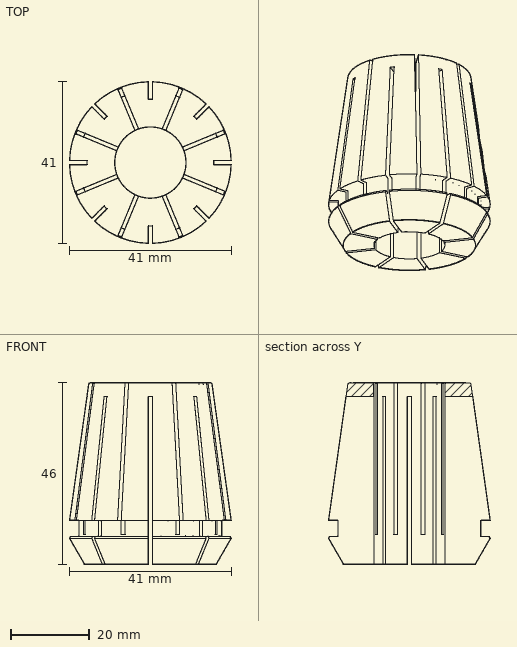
import math

import cadquery as cq

total_height = 46.0
max_radius = 20.5
bore_radius = 9.0

taper_angle = 8.0
taper_base_height = 11.15
rim_fillet = 0.5
bore_fillet = 0.4

groove_radius = 18.1
groove_floor_height = 7.1
groove_fillet = 0.2
nose_angle = 30.0
nose_edge_height = 6.6
nose_land_height = 0.15
flange_chamfer_width = 0.3

slots_per_end = 8
slot_width = 1.0
nose_slot_end = 42.5
rear_slot_start = 7.55
slot_overcut = 1.0

taper_top_radius = max_radius - (total_height - taper_base_height) * math.tan(math.radians(taper_angle))
nose_bottom_radius = max_radius - (nose_edge_height - nose_land_height) * math.tan(math.radians(nose_angle))
flange_top_radius = max_radius - flange_chamfer_width
slot_spacing = 360.0 / slots_per_end


def make_body():
    """Revolve the collet section: nose cone, groove and long taper around the bore."""
    section = (
        cq.Workplane("XZ")
        .moveTo(bore_radius, 0)
        .lineTo(nose_bottom_radius, 0)
        .lineTo(nose_bottom_radius, nose_land_height)
        .lineTo(max_radius, nose_edge_height)
        .lineTo(flange_top_radius, groove_floor_height)
        .lineTo(groove_radius, groove_floor_height)
        .lineTo(groove_radius, taper_base_height)
        .lineTo(max_radius, taper_base_height)
        .lineTo(taper_top_radius, total_height)
        .lineTo(bore_radius, total_height)
        .close()
    )
    return section.revolve(360, (0, 0, 0), (0, 1, 0))


def round_groove_corners(body):
    """Round the two inside corners where the groove wall meets its side faces."""
    reach = (groove_radius + max_radius) / 2
    groove_zone = cq.selectors.BoxSelector(
        (-reach, -reach, groove_floor_height - groove_fillet),
        (reach, reach, taper_base_height + groove_fillet),
        boundingbox=True,
    )
    return body.edges(groove_zone).edges("%CIRCLE").fillet(groove_fillet)


def round_top_edges(body):
    """Round the outer rim and the bore mouth of the rear face."""
    mouth = cq.selectors.RadiusNthSelector(0)
    rim = cq.selectors.RadiusNthSelector(-1)
    body = body.faces(">Z").edges(rim).fillet(rim_fillet)
    return body.faces(">Z").edges(mouth).fillet(bore_fillet)


def make_slots(start_angle, bottom, top):
    """Radial saw cuts from the axis outwards, evenly spaced from start_angle."""
    reach = max_radius + slot_overcut
    slots = cq.Workplane("XY")
    for index in range(slots_per_end):
        blade = cq.Workplane("XY").box(reach, slot_width, top - bottom, centered=(False, True, False))
        blade = blade.translate((0, 0, bottom))
        slots = slots.add(blade.rotate((0, 0, 0), (0, 0, 1), start_angle + index * slot_spacing))
    return slots.combine()


nose_slots = make_slots(0, 0, nose_slot_end)
rear_slots = make_slots(slot_spacing / 2, rear_slot_start, total_height)

result = round_top_edges(round_groove_corners(make_body())).cut(nose_slots).cut(rear_slots)